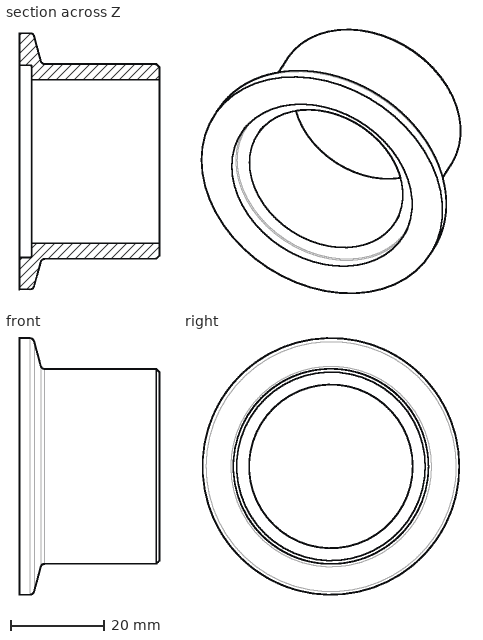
import cadquery as cq
import math

length = 30.0
flange_radius = 27.5
tube_radius = 20.9
bore_radius = 17.5

rim_corner = 2.95
cone_angle = 15.0
rim_fillet = 1.0
neck_fillet = 0.75

recess_radius = 20.55
recess_depth = 2.6
recess_fillet = 0.2

end_chamfer = 0.7

cone_length = (flange_radius - tube_radius) * math.tan(math.radians(cone_angle))
neck_corner = rim_corner + cone_length


def round_corner(body, x, radius, fillet):
    """Fillet the circular edge at distance x along the axis with the given radius."""
    margin = 0.05
    box = cq.selectors.BoxSelector(
        (x - margin, -radius - margin, -radius - margin),
        (x + margin, radius + margin, radius + margin),
        boundingbox=True,
    )
    inner = radius - margin
    edges = [
        edge for edge in body.edges(box).edges("%CIRCLE").vals() if edge.radius() > inner
    ]
    return body.newObject(edges).fillet(fillet)


section = (
    cq.Workplane("XY")
    .moveTo(0, recess_radius)
    .lineTo(0, flange_radius)
    .lineTo(rim_corner, flange_radius)
    .lineTo(neck_corner, tube_radius)
    .lineTo(length - end_chamfer, tube_radius)
    .lineTo(length, tube_radius - end_chamfer)
    .lineTo(length, bore_radius)
    .lineTo(recess_depth, bore_radius)
    .lineTo(recess_depth, recess_radius)
    .close()
)
result = section.revolve(360, (0, 0, 0), (1, 0, 0))

result = round_corner(result, rim_corner, flange_radius, rim_fillet)
result = round_corner(result, neck_corner, tube_radius, neck_fillet)
result = round_corner(result, recess_depth, recess_radius, recess_fillet)